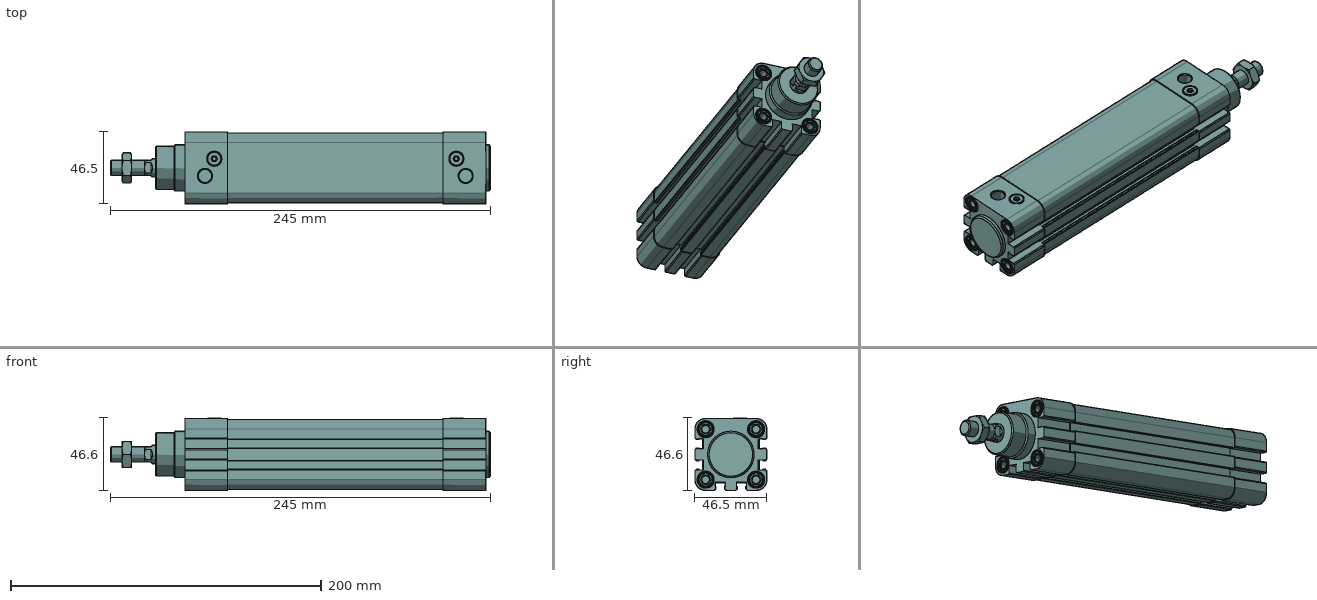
import cadquery as cq
import math


total_length = 245.0
front_face_x = 48.0
body_length = 194.0
cap_length = 27.5
rear_face_x = front_face_x + body_length
rear_spigot_length = total_length - rear_face_x

cap_half = 46.5 / 2
screw_offset = 32.5 / 2
barrel_inset = 0.65
barrel_half = cap_half - barrel_inset
cap_slot_floor = 17.6
barrel_slot_floor = 18.3
cap_slot_edge_chamfer = 0.7
slot_inner_edge = 3.7
slot_outer_edge = 10.0
lip_overhang = 0.5
lip_edge_chamfer = 0.4
lip_depth = 2.0

collar_diameter = 30.0
collar_length = 7.0
nose_diameter = 28.0
nose_length = 12.0
collar_chamfer_axial = 0.8
collar_chamfer_radial = (collar_diameter - nose_diameter) / 2
nose_chamfer = 0.8
spigot_chamfer = 1.0

screw_recess_diameter = 11.0
screw_head_diameter = 9.7
screw_gap_depth = 0.6
screw_rim_diameter = 8.4
screw_rim_depth = 0.3
screw_socket_flats = 6.0
screw_socket_corners = screw_socket_flats / math.cos(math.pi / 6)
screw_socket_depth = 1.0
screw_thread_diameter = 4.92
screw_thread_depth = 15.0

port_diameter = 8.57
port_mouth_diameter = 9.7
port_depth = 12.0
port_from_end = 13.0
port_y = -5.2
cushion_diameter = 9.7
cushion_head_top_diameter = 8.4
cushion_socket_size = 4.2
cushion_bore_diameter = 2.5
cushion_bore_depth = 3.0
cushion_socket_depth = 1.5
cushion_projection = 0.08
cushion_from_end = 19.0
cushion_y = 5.9

thread_diameter = 10.0
thread_tip_diameter = 8.4
thread_length = 22.0
rod_diameter = 12.0
rod_chamfer = 1.0
rod_flat_size = 10.0
rod_flat_end_x = 26.2
rod_depth_in_body = 20.0
rod_end_x = front_face_x + rod_depth_in_body
nut_x = 7.7
nut_thickness = 6.0
nut_across_flats = 17.0
nut_across_corners = nut_across_flats / math.cos(math.pi / 6)
nut_chamfer_radial = 1.2
nut_chamfer_axial = 0.7


def cylinder_x(diameter, start, end):
    """Cylinder on the main axis from x = start to x = end."""
    return cq.Workplane("YZ", origin=(start, 0, 0)).circle(diameter / 2).extrude(end - start)


def slot_profile(half_width, floor):
    """Plain slot across the +Z side, in the YZ plane, with chamfered outer edges."""
    chamfer = cap_slot_edge_chamfer
    return (
        cq.Workplane("YZ")
        .moveTo(slot_inner_edge, floor)
        .lineTo(slot_inner_edge, half_width - chamfer)
        .line(-chamfer, chamfer)
        .lineTo(slot_outer_edge + chamfer, half_width)
        .line(-chamfer, -chamfer)
        .lineTo(slot_outer_edge, floor)
        .close()
    )


def lipped_slot_profile(half_width, floor):
    """T-slot across the +Z side, in the YZ plane, with a mouth narrowed by two lips."""
    chamfer = lip_edge_chamfer
    return (
        cq.Workplane("YZ")
        .moveTo(slot_inner_edge, floor)
        .lineTo(slot_inner_edge, half_width - lip_depth)
        .line(lip_overhang, 0)
        .line(0, lip_depth - chamfer)
        .line(-chamfer, chamfer)
        .lineTo(slot_outer_edge - lip_overhang + chamfer, half_width)
        .line(-chamfer, -chamfer)
        .line(0, chamfer - lip_depth)
        .line(lip_overhang, 0)
        .lineTo(slot_outer_edge, floor)
        .close()
    )


def slotted_bar(start, length, half_width, profile):
    """Square bar with corners rounded about the screw axes and two slots in each side but the top."""
    bar = cq.Workplane("YZ").rect(2 * half_width, 2 * half_width).extrude(length)
    bar = bar.edges("|X").fillet(half_width - screw_offset)
    slot = profile.extrude(length)
    for side_angle in (90, 180, 270):
        for side_slot in (slot, slot.mirror("XZ")):
            bar = bar.cut(side_slot.rotate((0, 0, 0), (1, 0, 0), side_angle))
    return bar.translate((start, 0, 0))


def corner_screw_cut():
    """Gap, sunk face, hexagon socket and inner thread of a corner screw, cut along +X from x = 0."""
    gap = cylinder_x(screw_recess_diameter, 0, screw_gap_depth)
    gap = gap.cut(cylinder_x(screw_head_diameter, 0, screw_gap_depth))
    socket = cq.Workplane("YZ").polygon(6, screw_socket_corners).extrude(screw_socket_depth)
    thread = cylinder_x(screw_thread_diameter, 0, screw_thread_depth)
    rim = cylinder_x(screw_rim_diameter, 0, screw_rim_depth)
    return gap.union(rim).union(socket).union(thread)


def add_corner_screws(body):
    """The four corner screws at both ends."""
    front_cut = corner_screw_cut()
    rear_cut = front_cut.mirror("YZ")
    for y in (-screw_offset, screw_offset):
        for z in (-screw_offset, screw_offset):
            body = body.cut(front_cut.translate((front_face_x, y, z)))
            body = body.cut(rear_cut.translate((rear_face_x, y, z)))
    return body


def top_plane(x, y):
    """Workplane on the top face of the end caps."""
    return cq.Workplane("XY", origin=(x, y, cap_half))


def cone_down(x, y, top_diameter, bottom_diameter):
    """45 degree cone going down from the top face of an end cap."""
    height = abs(top_diameter - bottom_diameter) / 2
    return cq.Workplane(
        cq.Solid.makeCone(top_diameter / 2, bottom_diameter / 2, height,
                          pnt=cq.Vector(x, y, cap_half), dir=cq.Vector(0, 0, -1))
    )


def add_port(body, x):
    """Air port in the top of an end cap, chamfered at its mouth."""
    body = body.cut(top_plane(x, port_y).circle(port_diameter / 2).extrude(-port_depth))
    return body.cut(cone_down(x, port_y, port_mouth_diameter, port_diameter))


def add_cushion_screw(body, x):
    """Cushioning screw with a cone-edged socket head that stands just above the cap."""
    plane = top_plane(x, cushion_y)
    gap_depth = (cushion_diameter - cushion_head_top_diameter) / 2
    head_cone = cone_down(x, cushion_y, cushion_head_top_diameter, cushion_diameter)
    gap = plane.circle(cushion_diameter / 2).extrude(-gap_depth).cut(head_cone)
    head_top = plane.circle(cushion_head_top_diameter / 2).extrude(cushion_projection)
    socket = (
        plane.workplane(offset=cushion_projection)
        .polygon(6, cushion_socket_size)
        .extrude(-cushion_projection - cushion_socket_depth)
    )
    bore = plane.circle(cushion_bore_diameter / 2).extrude(-cushion_bore_depth)
    return body.cut(gap).union(head_top).cut(socket).cut(bore)


def make_housing():
    """Barrel between two end caps, with the rod collar, rear spigot, screws, ports and rod bore."""
    cap_slot = slot_profile(cap_half, cap_slot_floor)
    barrel_slot = lipped_slot_profile(barrel_half, barrel_slot_floor)
    barrel_length = body_length - 2 * cap_length
    front_cap = slotted_bar(front_face_x, cap_length, cap_half, cap_slot)
    barrel = slotted_bar(front_face_x + cap_length, barrel_length, barrel_half, barrel_slot)
    rear_cap = front_cap.translate((body_length - cap_length, 0, 0))
    body = front_cap.union(barrel).union(rear_cap)

    collar_x = front_face_x - collar_length
    nose = cylinder_x(nose_diameter, collar_x - nose_length, collar_x).faces("<X").chamfer(nose_chamfer)
    spigot = cylinder_x(collar_diameter, rear_face_x, rear_face_x + rear_spigot_length)
    spigot = spigot.faces(">X").chamfer(spigot_chamfer)
    collar = cylinder_x(collar_diameter, collar_x, front_face_x)
    collar = collar.faces("<X").chamfer(collar_chamfer_axial, collar_chamfer_radial)
    body = body.union(collar).union(nose).union(spigot)

    body = add_corner_screws(body)
    for end_x, inward in ((front_face_x, 1), (rear_face_x, -1)):
        body = add_port(body, end_x + inward * port_from_end)
        body = add_cushion_screw(body, end_x + inward * cushion_from_end)
    return body.cut(cylinder_x(rod_diameter, 0, rod_end_x))


def make_nut():
    """Hexagon nut with corners along Y, chamfered at both faces."""
    nut = cq.Workplane("YZ", origin=(nut_x, 0, 0)).polygon(6, nut_across_corners).extrude(nut_thickness)
    blank = cylinder_x(nut_across_corners, nut_x, nut_x + nut_thickness)
    return nut.intersect(blank.faces("<X or >X").chamfer(nut_chamfer_axial, nut_chamfer_radial))


def make_rod():
    """Threaded rod with its lock nut and four wrench flats that run out at 45 degrees."""
    tip_chamfer = (thread_diameter - thread_tip_diameter) / 2
    thread = cylinder_x(thread_diameter, 0, thread_length).faces("<X").chamfer(tip_chamfer)
    shank = cylinder_x(rod_diameter, thread_length, rod_end_x).faces("<X").chamfer(rod_chamfer)
    half_flat = rod_flat_size / 2
    flat_depth = rod_diameter / 2 - half_flat
    flat_cut = (
        cq.Workplane("XZ")
        .moveTo(thread_length, half_flat)
        .lineTo(rod_flat_end_x, half_flat)
        .line(flat_depth, flat_depth)
        .lineTo(thread_length, half_flat + flat_depth)
        .close()
        .extrude(rod_diameter / 2, both=True)
    )
    for angle in (0, 90, 180, 270):
        shank = shank.cut(flat_cut.rotate((0, 0, 0), (1, 0, 0), angle))
    return thread.union(shank).union(make_nut())


housing = make_housing()
rod = make_rod()

result = cq.Compound.makeCompound([housing.val(), rod.val()])